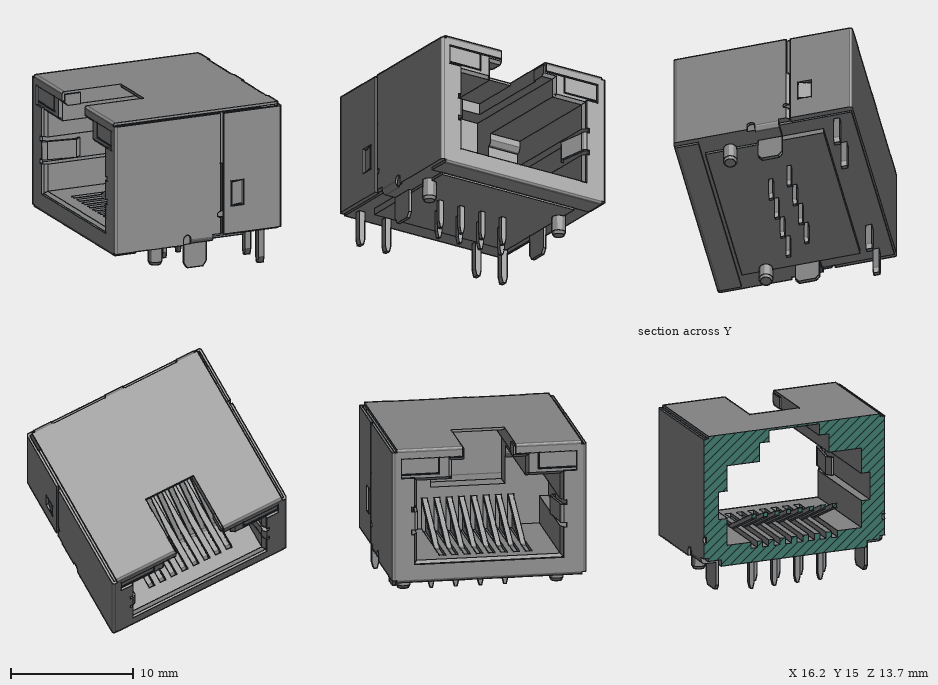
import cadquery as cq
import math


SHELL_HALF_WIDTH = 8.07
DEPTH = 15.0
SHEET = 0.21
FRONT_BOTTOM = -11.1
REAR_BOTTOM = -10.57
INNER_HALF_WIDTH = SHELL_HALF_WIDTH - SHEET
TOP_HALF_WIDTH = 7.67
FRONT_WALL_TOP = -0.25
LID_THICKNESS = 0.42
LID_BEVEL_FRONT = 13.25
LID_BEVEL_BOTTOM = -0.49
WRAP_TOP = -0.28
HINGE_HALF_WIDTH = 7.4
FOLD_SLOT_START = 0.83
FOLD_SLOT_END = 5.78
FOLD_SLOT_DEPTH = 0.28

SEAM_FRONT = 9.48
SEAM_REAR = 9.81
SEAM_TONGUE_REAR = 9.71
SEAM_TONGUE_TOP = -4.55
SEAM_BOTTOM = -10.49
SEAM_RELIEF_Z = -8.85
SEAM_RELIEF_RADIUS = 0.26

WINDOW_FRONT = 10.45
WINDOW_REAR = 11.6
WINDOW_TOP = -6.12
WINDOW_BOTTOM = -8.28
WINDOW_GAP = 0.1
RAMP_HALF_WIDTH = 8.12

FLANGE_HALF_WIDTH = 7.7
BASE_HALF_WIDTH = 6.5
BASE_BOTTOM = -11.32
BASE_FRONT = 2.32
BASE_REAR = 12.25
FLANGE_DEPTH = 2.01
REAR_FLOOR_BOTTOM = -10.77
REAR_FLOOR_END = 14.86

TAB_FRONT = 6.82
TAB_REAR = 8.82
TAB_BEND_RADIUS = 0.39
TAB_OUTER_X = 6.75
TAB_INNER_X = 6.5
TAB_BOTTOM = -13.48
TAB_CORNER_WIDTH = 0.3
TAB_CORNER_HEIGHT = 0.44
TAB_RELIEF_RADIUS = 0.32
TAB_RELIEF_TOP = -10.28

MOUTH_HALF_WIDTH = 6.2
MOUTH_BOTTOM = -9.8
MOUTH_TOP = -2.52
LATCH_HALF_WIDTH = 3.33
LATCH_TOP = -0.93
MOUTH_BEVEL = 0.25
MOUTH_BEVEL_ANGLE = 45
CAVITY_BACK = 9.78
CAVITY_HALF_WIDTH = MOUTH_HALF_WIDTH - MOUTH_BEVEL
CAVITY_FLOOR = MOUTH_BOTTOM + MOUTH_BEVEL
CAVITY_CEILING = MOUTH_TOP - MOUTH_BEVEL
CHANNEL_HALF_WIDTH = LATCH_HALF_WIDTH - MOUTH_BEVEL
CHANNEL_TOP = LATCH_TOP - MOUTH_BEVEL
POCKET_BACK = 11.37
POCKET_BOTTOM = -6.05
POCKET_SLOPE_HEIGHT = 0.49
POCKET_SLOPE_DEPTH = 0.05
BAR_STEP = -3.3
BAR_BOTTOM = -3.82
BAR_DEPTH = 0.32

SLOT_HALF_WIDTH = 2.21
SLOT_REAR = 5.3
LIP_HALF_WIDTH = 2.06
LIP_REAR = 1.59

LIGHT_OUTER_X = 7.29
LIGHT_INNER_X = 4.11
LIGHT_TOP = -0.8
LIGHT_BOTTOM = -2.24
LIGHT_WINDOW_BOTTOM = -2.45
LIGHT_GAP = 0.08
LIGHT_GAP_DEPTH = 0.16

SPRING_NOTCH_HALF_WIDTH = 6.45
SPRING_RECESS_HALF_WIDTH = 6.72
SPRING_RECESS_TOP = -4.92
SPRING_RECESS_BOTTOM = -7.25
SPRING_TOP = -5.31
SPRING_BOTTOM = -6.85
SPRING_XS = (6.22, 5.95, 5.59, 5.91)
SPRING_YS = (0.42, 2.87, 3.33)

CONTACT_COUNT = 8
CONTACT_PITCH = 1.02
CONTACT_WIDTH = 0.42
CONTACT_THICKNESS = 0.34
CONTACT_TOP = -9.75
CONTACT_FRONT = 1.7
CONTACT_BEND = 4.1
CONTACT_BEND_RADIUS = 0.47
CONTACT_ANGLE = math.radians(26.0)
CONTACT_NOSE_RADIUS = 0.26
GROOVE_WIDTH = 0.52
GROOVE_FRONT = 1.6
GROOVE_REAR = 10.72
GROOVE_TOP = -6.97

PIN_BOTTOM = -13.7
PIN_TAPER_TOP = -13.2
CONTACT_PIN_WIDTH = 0.44
CONTACT_PIN_ROWS = (6.93, 8.7)
CONTACT_PIN_TIP = 0.2
LIGHT_PIN_XS = (-7.02, -4.45, 4.45, 7.02)
LIGHT_PIN_Y = 13.53
LIGHT_PIN_WIDTH = 0.55
LIGHT_PIN_THICKNESS = 0.5
LIGHT_PIN_TIP = 0.28
PEG_X = 6.37
PEG_Y = 4.38
PEG_RADIUS = 0.57
PEG_BOTTOM = -12.88
PEG_CHAMFER_HEIGHT = 0.26
PEG_CHAMFER_WIDTH = 0.13


def block(x0, x1, y0, y1, z0, z1):
    return cq.Workplane("XY").box(x1 - x0, y1 - y0, z1 - z0, centered=False).translate((x0, y0, z0))


def centred_block(half_width, y0, y1, z0, z1):
    return block(-half_width, half_width, y0, y1, z0, z1)


def both_sides(solid):
    return solid.union(solid.mirror("YZ"))


def prism_along_y(points, y0, y1):
    """Solid with an (x, z) outline running from y0 to y1."""
    return cq.Workplane("XZ", origin=(0, y0, 0)).polyline(points).close().extrude(y0 - y1)


def prism_along_z(points, z0, z1):
    """Solid with an (x, y) outline running from z0 to z1."""
    return cq.Workplane("XY", origin=(0, 0, z0)).polyline(points).close().extrude(z1 - z0)


def outer_body():
    walls = centred_block(SHELL_HALF_WIDTH, 0, SEAM_FRONT, FRONT_BOTTOM, FRONT_WALL_TOP)
    walls = walls.edges("|Z and <Y").fillet(SHEET)
    wrap = centred_block(SHELL_HALF_WIDTH, SEAM_REAR, DEPTH, REAR_BOTTOM, WRAP_TOP)
    wrap = wrap.edges("|Z and >Y").fillet(SHEET)
    core = centred_block(INNER_HALF_WIDTH, SHEET, DEPTH - SHEET, SEAM_BOTTOM, -SHEET)
    lid = centred_block(TOP_HALF_WIDTH, 0, DEPTH - SHEET, -LID_THICKNESS, 0)
    lid = lid.edges("|X and <Y and >Z").fillet(SHEET)
    fold = centred_block(HINGE_HALF_WIDTH, DEPTH - LID_THICKNESS, DEPTH, -LID_THICKNESS, 0)
    fold = fold.edges("|X and >Y and >Z").fillet(SHEET)
    return walls.union(core).union(wrap).union(lid).union(fold)


def underside():
    flange = centred_block(FLANGE_HALF_WIDTH, 0, FLANGE_DEPTH, BASE_BOTTOM, FRONT_BOTTOM + SHEET)
    flange = flange.edges("|X and <Y and <Z").fillet(SHEET)
    base = centred_block(BASE_HALF_WIDTH, BASE_FRONT, BASE_REAR, BASE_BOTTOM, SEAM_BOTTOM)
    rear_floor = centred_block(TOP_HALF_WIDTH, TAB_REAR, REAR_FLOOR_END, REAR_FLOOR_BOTTOM, SEAM_BOTTOM)
    return flange.union(base).union(rear_floor)


def lid_bevels():
    outline = [
        (TOP_HALF_WIDTH, -SHEET),
        (INNER_HALF_WIDTH, -SHEET),
        (INNER_HALF_WIDTH, LID_BEVEL_BOTTOM),
    ]
    return both_sides(prism_along_y(outline, LID_BEVEL_FRONT, DEPTH - SHEET))


def fold_slots():
    slot = block(FOLD_SLOT_START, FOLD_SLOT_END, DEPTH - FOLD_SLOT_DEPTH, DEPTH, -FOLD_SLOT_DEPTH, 0)
    return both_sides(slot.edges("|Z and <Y").fillet(FOLD_SLOT_DEPTH / 2))


def seam_tongues():
    """Bevelled edge of the front shell standing in the lower part of each seam."""
    outline = [
        (INNER_HALF_WIDTH, SEAM_FRONT),
        (SHELL_HALF_WIDTH, SEAM_FRONT),
        (INNER_HALF_WIDTH, SEAM_TONGUE_REAR),
    ]
    return both_sides(prism_along_z(outline, SEAM_BOTTOM, SEAM_TONGUE_TOP))


def side_wall_reliefs():
    seam = (
        cq.Workplane("YZ", origin=(INNER_HALF_WIDTH, 0, 0))
        .center(SEAM_FRONT, SEAM_RELIEF_Z)
        .circle(SEAM_RELIEF_RADIUS)
        .extrude(SHEET)
    )
    tongue_gap = block(
        INNER_HALF_WIDTH,
        SHELL_HALF_WIDTH,
        SEAM_FRONT,
        SEAM_REAR,
        SEAM_RELIEF_Z - SEAM_RELIEF_RADIUS,
        SEAM_RELIEF_Z + SEAM_RELIEF_RADIUS,
    )
    tab_y = TAB_FRONT - TAB_RELIEF_RADIUS
    tab_z = TAB_RELIEF_TOP - TAB_RELIEF_RADIUS
    tab_round = (
        cq.Workplane("YZ", origin=(INNER_HALF_WIDTH, 0, 0))
        .center(tab_y, tab_z)
        .circle(TAB_RELIEF_RADIUS)
        .extrude(SHEET)
    )
    tab_slot = block(
        INNER_HALF_WIDTH,
        SHELL_HALF_WIDTH,
        tab_y - TAB_RELIEF_RADIUS,
        TAB_FRONT,
        FRONT_BOTTOM,
        tab_z,
    )
    tab_room = block(
        TAB_OUTER_X, SHELL_HALF_WIDTH, TAB_FRONT, TAB_REAR, FRONT_BOTTOM, FRONT_BOTTOM + TAB_BEND_RADIUS
    )
    behind_tab = block(TOP_HALF_WIDTH, SHELL_HALF_WIDTH, TAB_REAR, SEAM_REAR, FRONT_BOTTOM, SEAM_BOTTOM)
    rear_step = centred_block(SHELL_HALF_WIDTH, TAB_REAR, SEAM_REAR, FRONT_BOTTOM, REAR_FLOOR_BOTTOM)
    reliefs = seam.union(tongue_gap).union(tab_round).union(tab_slot).union(tab_room).union(behind_tab)
    return both_sides(reliefs).union(rear_step)


def latch_windows():
    return both_sides(
        block(INNER_HALF_WIDTH, SHELL_HALF_WIDTH, WINDOW_FRONT, WINDOW_REAR, WINDOW_BOTTOM, WINDOW_TOP)
    )


def latch_ramps():
    front = WINDOW_FRONT + WINDOW_GAP / 2
    outline = [
        (INNER_HALF_WIDTH, front),
        (RAMP_HALF_WIDTH, front),
        (INNER_HALF_WIDTH, WINDOW_REAR - WINDOW_GAP),
    ]
    return both_sides(prism_along_z(outline, WINDOW_BOTTOM + WINDOW_GAP, WINDOW_TOP - WINDOW_GAP))


def ground_tabs():
    neck = block(TAB_INNER_X, SHELL_HALF_WIDTH, TAB_FRONT, TAB_REAR, FRONT_BOTTOM, SEAM_BOTTOM)
    neck = neck.edges("|Y and >X and <Z").fillet(TAB_BEND_RADIUS)
    corner_z = TAB_BOTTOM + TAB_CORNER_HEIGHT
    blade = (
        cq.Workplane("YZ", origin=(TAB_INNER_X, 0, 0))
        .polyline(
            [
                (TAB_FRONT, FRONT_BOTTOM),
                (TAB_FRONT, corner_z),
                (TAB_FRONT + TAB_CORNER_WIDTH, TAB_BOTTOM),
                (TAB_REAR - TAB_CORNER_WIDTH, TAB_BOTTOM),
                (TAB_REAR, corner_z),
                (TAB_REAR, FRONT_BOTTOM),
            ]
        )
        .close()
        .extrude(TAB_OUTER_X - TAB_INNER_X)
    )
    return both_sides(neck.union(blade))


def mouth_outline(workplane):
    return workplane.polyline(
        [
            (-MOUTH_HALF_WIDTH, MOUTH_BOTTOM),
            (MOUTH_HALF_WIDTH, MOUTH_BOTTOM),
            (MOUTH_HALF_WIDTH, MOUTH_TOP),
            (LATCH_HALF_WIDTH, MOUTH_TOP),
            (LATCH_HALF_WIDTH, LATCH_TOP),
            (-LATCH_HALF_WIDTH, LATCH_TOP),
            (-LATCH_HALF_WIDTH, MOUTH_TOP),
            (-MOUTH_HALF_WIDTH, MOUTH_TOP),
        ]
    ).close()


def cavity():
    opening = mouth_outline(cq.Workplane("XZ")).extrude(-SHEET)
    bevel = mouth_outline(cq.Workplane("XZ", origin=(0, SHEET, 0))).extrude(-MOUTH_BEVEL, taper=MOUTH_BEVEL_ANGLE)
    room = centred_block(CAVITY_HALF_WIDTH, SHEET, CAVITY_BACK, CAVITY_FLOOR, CAVITY_CEILING)
    bar_front = CAVITY_BACK - BAR_DEPTH
    bar = (
        cq.Workplane("YZ", origin=(-CAVITY_HALF_WIDTH, 0, 0))
        .moveTo(bar_front, CAVITY_CEILING)
        .lineTo(bar_front, BAR_STEP)
        .tangentArcPoint((CAVITY_BACK, BAR_BOTTOM), relative=False)
        .lineTo(CAVITY_BACK, CAVITY_CEILING)
        .close()
        .extrude(2 * CAVITY_HALF_WIDTH)
    )
    room = room.cut(bar)
    channel = centred_block(CHANNEL_HALF_WIDTH, SHEET, POCKET_BACK, POCKET_BOTTOM, CHANNEL_TOP)
    slope = (
        cq.Workplane("YZ", origin=(-CHANNEL_HALF_WIDTH, 0, 0))
        .polyline(
            [
                (POCKET_BACK, POCKET_BOTTOM),
                (POCKET_BACK - POCKET_SLOPE_DEPTH, POCKET_BOTTOM),
                (POCKET_BACK, POCKET_BOTTOM + POCKET_SLOPE_HEIGHT),
            ]
        )
        .close()
        .extrude(2 * CHANNEL_HALF_WIDTH)
    )
    channel = channel.cut(slope)
    return opening.union(bevel).union(room).union(channel)


def top_slot():
    sheet_cut = centred_block(SLOT_HALF_WIDTH, 0, SLOT_REAR, -SHEET, 0)
    front_cut = centred_block(SLOT_HALF_WIDTH, 0, SHEET, LATCH_TOP, 0)
    lip_cut = centred_block(LIP_HALF_WIDTH, SHEET, LIP_REAR, CHANNEL_TOP, -SHEET)
    inner_cut = centred_block(SLOT_HALF_WIDTH, LIP_REAR, CAVITY_BACK, CHANNEL_TOP, -SHEET)
    return sheet_cut.union(front_cut).union(lip_cut).union(inner_cut)


def light_windows():
    window = centred_block(LIGHT_OUTER_X, 0, SHEET, LIGHT_WINDOW_BOTTOM, LIGHT_TOP)
    back = SHEET + LIGHT_GAP_DEPTH
    below = block(
        -LIGHT_OUTER_X, -LIGHT_INNER_X, SHEET, back, LIGHT_BOTTOM, LIGHT_BOTTOM + LIGHT_GAP
    )
    beside = block(
        -LIGHT_INNER_X - LIGHT_GAP, -LIGHT_INNER_X, SHEET, back, LIGHT_BOTTOM, LIGHT_TOP
    )
    middle = centred_block(MOUTH_HALF_WIDTH, 0, SHEET, MOUTH_TOP, LIGHT_TOP)
    return window.union(middle).union(both_sides(below.union(beside)))


def spring_recesses():
    """Recesses in the cavity walls, with a notch in the front sheet above and below each spring."""
    upper = centred_block(SPRING_NOTCH_HALF_WIDTH, 0, SHEET, SPRING_TOP, SPRING_RECESS_TOP)
    lower = centred_block(SPRING_NOTCH_HALF_WIDTH, 0, SHEET, SPRING_RECESS_BOTTOM, SPRING_BOTTOM)
    recess = centred_block(
        SPRING_RECESS_HALF_WIDTH, SHEET, CAVITY_BACK, SPRING_RECESS_BOTTOM, SPRING_RECESS_TOP
    )
    return upper.union(lower).union(recess)


def springs():
    """Finger folded back from each side of the mouth, leaning inwards and turning out at its tip."""
    root_x, bend_x, crest_x, tip_x = SPRING_XS
    bend_y, crest_y, tip_y = SPRING_YS
    finger = (
        cq.Workplane("XY", origin=(0, 0, SPRING_BOTTOM))
        .moveTo(SPRING_NOTCH_HALF_WIDTH, 0)
        .lineTo(root_x, 0)
        .tangentArcPoint((bend_x, bend_y), relative=False)
        .lineTo(crest_x, crest_y)
        .lineTo(tip_x, tip_y)
        .lineTo(tip_x + SHEET, tip_y)
        .lineTo(crest_x + SHEET, crest_y)
        .lineTo(bend_x + SHEET, bend_y)
        .lineTo(SPRING_NOTCH_HALF_WIDTH, SHEET)
        .close()
        .extrude(SPRING_TOP - SPRING_BOTTOM)
    )
    return both_sides(finger)


def contact_xs():
    return [(i - (CONTACT_COUNT - 1) / 2) * CONTACT_PITCH for i in range(CONTACT_COUNT)]


def contact_grooves():
    """Grooves in the cavity floor that turn up into slots in its back wall."""
    bottom = CONTACT_TOP - CONTACT_THICKNESS
    grooves = cq.Workplane("XY")
    for x in contact_xs():
        left = x - GROOVE_WIDTH / 2
        right = x + GROOVE_WIDTH / 2
        grooves = grooves.union(block(left, right, GROOVE_FRONT, GROOVE_REAR, bottom, CAVITY_FLOOR))
        grooves = grooves.union(block(left, right, CAVITY_BACK, GROOVE_REAR, bottom, GROOVE_TOP))
    return grooves


def contacts():
    """Strips lying in the floor grooves, then rising to slots in the back wall of the cavity."""
    bottom = CONTACT_TOP - CONTACT_THICKNESS
    rise = (GROOVE_REAR - CONTACT_BEND) * math.tan(CONTACT_ANGLE)
    strip_drop = CONTACT_THICKNESS / math.cos(CONTACT_ANGLE)
    under_bend = CONTACT_BEND + CONTACT_THICKNESS * math.tan(CONTACT_ANGLE / 2)
    bend_length = CONTACT_BEND_RADIUS * math.tan(CONTACT_ANGLE / 2)
    bend_mid_y = CONTACT_BEND - bend_length + CONTACT_BEND_RADIUS * math.sin(CONTACT_ANGLE / 2)
    bend_mid_z = CONTACT_TOP + CONTACT_BEND_RADIUS * (1 - math.cos(CONTACT_ANGLE / 2))
    nose = CONTACT_NOSE_RADIUS
    nose_mid = nose * (1 - math.sqrt(0.5))
    strips = cq.Workplane("XY")
    for x in contact_xs():
        strips = strips.union(
            cq.Workplane("YZ", origin=(x - CONTACT_WIDTH / 2, 0, 0))
            .moveTo(CONTACT_FRONT, bottom)
            .lineTo(CONTACT_FRONT, CONTACT_TOP - nose)
            .threePointArc(
                (CONTACT_FRONT + nose_mid, CONTACT_TOP - nose_mid), (CONTACT_FRONT + nose, CONTACT_TOP)
            )
            .lineTo(CONTACT_BEND - bend_length, CONTACT_TOP)
            .threePointArc(
                (bend_mid_y, bend_mid_z),
                (
                    CONTACT_BEND + bend_length * math.cos(CONTACT_ANGLE),
                    CONTACT_TOP + bend_length * math.sin(CONTACT_ANGLE),
                ),
            )
            .lineTo(GROOVE_REAR, CONTACT_TOP + rise)
            .lineTo(GROOVE_REAR, CONTACT_TOP + rise - strip_drop)
            .lineTo(under_bend, bottom)
            .close()
            .extrude(CONTACT_WIDTH)
        )
    return strips


def pin(x, y, width, thickness, tip_width):
    """Flat pin narrowing to its tip, let into the underside of the body."""
    half = width / 2
    outline = [
        (x - half, SEAM_BOTTOM),
        (x - half, PIN_TAPER_TOP),
        (x - tip_width / 2, PIN_BOTTOM),
        (x + tip_width / 2, PIN_BOTTOM),
        (x + half, PIN_TAPER_TOP),
        (x + half, SEAM_BOTTOM),
    ]
    return prism_along_y(outline, y - thickness / 2, y + thickness / 2)


def pins():
    solid = cq.Workplane("XY")
    for i, x in enumerate(contact_xs()):
        row = CONTACT_PIN_ROWS[i % len(CONTACT_PIN_ROWS)]
        solid = solid.union(pin(x, row, CONTACT_PIN_WIDTH, CONTACT_THICKNESS, CONTACT_PIN_TIP))
    for x in LIGHT_PIN_XS:
        solid = solid.union(pin(x, LIGHT_PIN_Y, LIGHT_PIN_WIDTH, LIGHT_PIN_THICKNESS, LIGHT_PIN_TIP))
    return solid


def pegs():
    peg = (
        cq.Workplane("XY", origin=(PEG_X, PEG_Y, PEG_BOTTOM))
        .circle(PEG_RADIUS)
        .extrude(FRONT_BOTTOM - PEG_BOTTOM)
        .faces("<Z")
        .chamfer(PEG_CHAMFER_HEIGHT, PEG_CHAMFER_WIDTH)
    )
    return both_sides(peg)


body = outer_body().union(seam_tongues()).cut(side_wall_reliefs()).union(underside())
body = body.cut(lid_bevels()).cut(fold_slots()).cut(latch_windows()).union(latch_ramps())
body = body.cut(cavity()).cut(top_slot()).cut(light_windows())
body = body.cut(spring_recesses()).cut(contact_grooves())
result = body.union(springs()).union(contacts()).union(ground_tabs()).union(pins()).union(pegs())